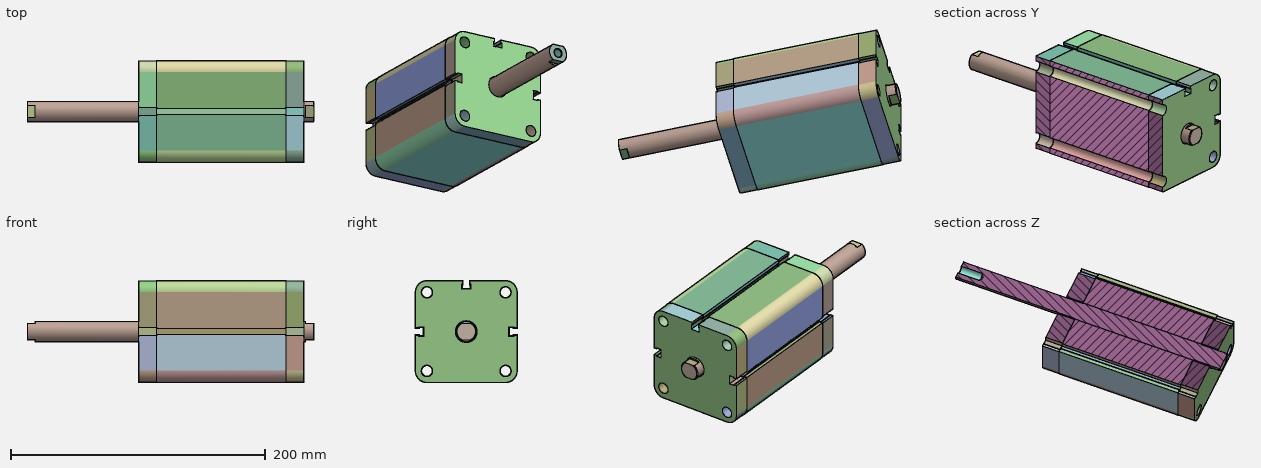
import cadquery as cq

TOTAL_LENGTH = 225.0
FRONT_CAP_START = 87.3
CAP_LENGTH = 14.2
BARREL_LENGTH = 101.2
BARREL_START = FRONT_CAP_START + CAP_LENGTH
REAR_CAP_START = BARREL_START + BARREL_LENGTH

BARREL_SIZE = 80.0
CAP_SIZE = 79.6
HOLE_SPACING = 61.6
BARREL_HOLE_DIAMETER = 8.3
CAP_HOLE_DIAMETER = 9.0

SLOT_CLEARANCE = 0.7
BARREL_SLOT_MOUTH = 4.7
BARREL_CHAMBER_WIDTH = 6.0
BARREL_SLOT_DEPTH = 6.0
BARREL_SLOT_LIP = 3.4
SLOT_ANGLES = (-90, 0, 90)

CAP_BORE_DIAMETER = 17.0

ROD_DIAMETER = 16.0
FLAT_THICKNESS = 13.0
FRONT_FLAT_LENGTH = 6.0
REAR_FLAT_LENGTH = 6.8
REAR_CHAMFER = 0.7
TAP_DIAMETER = 6.5
TAP_CHAMFER = 0.5
TAP_DEPTH = 18.0
TAP_POINT_DEPTH = 2.0


def section_plane(x):
    """Plane across the axis at x: local x is +Y, local y is +Z, normal is +X."""
    return cq.Workplane("YZ", origin=(x, 0, 0))


def t_slot(x, length, clearance):
    """Cutter for one T-slot in the top face, larger all round than the barrel's by the clearance."""
    top = BARREL_SIZE / 2
    lip_base = top - BARREL_SLOT_LIP + clearance
    floor = top - BARREL_SLOT_DEPTH - clearance
    mouth_width = BARREL_SLOT_MOUTH + 2 * clearance
    chamber_width = BARREL_CHAMBER_WIDTH + 2 * clearance
    mouth = section_plane(x).center(0, (top + floor) / 2).rect(mouth_width, top - floor).extrude(length)
    chamber_center = (lip_base + floor) / 2
    chamber = section_plane(x).center(0, chamber_center).rect(chamber_width, lip_base - floor).extrude(length)
    return mouth.union(chamber)


def slotted_block(x, length, size, hole_diameter, bore_diameter, slot_clearance):
    """Rounded square block with corner holes, three T-slots and a central bore."""
    corner_radius = (size - HOLE_SPACING) / 2
    block = section_plane(x).rect(size, size).extrude(length).edges("|X").fillet(corner_radius)
    corners = section_plane(x).rect(HOLE_SPACING, HOLE_SPACING, forConstruction=True).vertices()
    block = block.cut(corners.circle(hole_diameter / 2).extrude(length))
    slot = t_slot(x, length, slot_clearance)
    for angle in SLOT_ANGLES:
        block = block.cut(slot.rotate((0, 0, 0), (1, 0, 0), angle))
    return block.cut(section_plane(x).circle(bore_diameter / 2).extrude(length))


def housing_barrel():
    """Main body, whose bore fits the rod closely."""
    return slotted_block(BARREL_START, BARREL_LENGTH, BARREL_SIZE, BARREL_HOLE_DIAMETER, ROD_DIAMETER, 0)


def end_cap(x):
    """Cap starting at x, bored with clearance around the rod."""
    return slotted_block(x, CAP_LENGTH, CAP_SIZE, CAP_HOLE_DIAMETER, CAP_BORE_DIAMETER, SLOT_CLEARANCE)


def flats_cutter(x, length):
    """Cutter leaving two wrench flats, facing up and down, on the rod."""
    outside = section_plane(x).rect(2 * ROD_DIAMETER, 2 * ROD_DIAMETER).extrude(length)
    kept = section_plane(x).rect(2 * ROD_DIAMETER, FLAT_THICKNESS).extrude(length)
    return outside.cut(kept)


def tapped_bore():
    """Blind bore from the free tip with a chamfered mouth and a conical drill point."""
    radius = TAP_DIAMETER / 2
    profile = [
        (0, 0),
        (0, radius + TAP_CHAMFER),
        (TAP_CHAMFER, radius),
        (TAP_DEPTH, radius),
        (TAP_DEPTH + TAP_POINT_DEPTH, 0),
    ]
    return cq.Workplane("XY").polyline(profile).close().revolve(360, (0, 0, 0), (1, 0, 0))


def piston_rod():
    rod = section_plane(0).circle(ROD_DIAMETER / 2).extrude(TOTAL_LENGTH)
    rod = rod.faces(">X").chamfer(REAR_CHAMFER)
    rod = rod.cut(flats_cutter(0, FRONT_FLAT_LENGTH))
    rod = rod.cut(flats_cutter(TOTAL_LENGTH - REAR_FLAT_LENGTH, REAR_FLAT_LENGTH))
    return rod.cut(tapped_bore())


barrel = housing_barrel()
end_caps = [end_cap(x) for x in (FRONT_CAP_START, REAR_CAP_START)]
rod = piston_rod()

result = cq.Compound.makeCompound([barrel.val(), *[cap.val() for cap in end_caps], rod.val()])